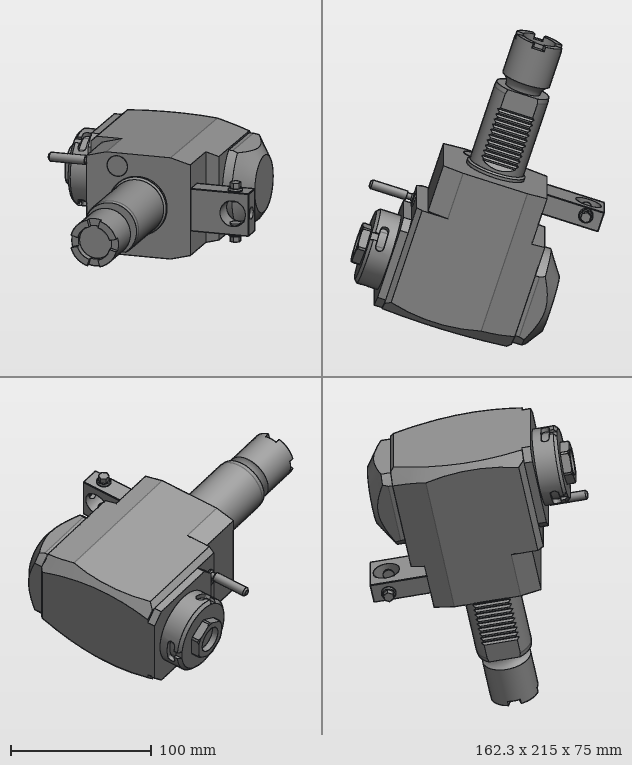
import cadquery as cq
import math


BODY_HALF_HEIGHT = 37.5
BODY_BACK_Y = 114.0
SHOULDER_Y = 35.0
FRONT_HALF_WIDTH = 38.75
REAR_LEFT_X = -47.2
REAR_RIGHT_X = 48.5
REAR_CHAMFER = 4.0
SLOPE_START_X = 24.0
SLOPE = math.tan(math.radians(15))
TURN_X = -9.6
TURN_Y = -20.0
TURN_TOP_RADIUS = 130.0
TURN_CONE_HEIGHT = 24.0
REAR_CORNER_CHAMFER = 2.8

FRONT_RECESS_X = -15.9
FRONT_RECESS_Z = 27.7
FRONT_RECESS_RADIUS = 7.6
FRONT_RECESS_DEPTH = 0.3

SPINDLE_Y = 80.0
FLANGE_LEFT_X = -53.2
FLANGE_FRONT_Y = 46.5
FLANGE_HALF_HEIGHT = 33.5
FLANGE_CHAMFER = 8.0
NUT_LEFT_X = -70.8
NUT_RADIUS = 27.6
NUT_CHAMFER = 2.3
SLOT_FLOOR_RADIUS = 24.3
SLOT_X = -62.5
SLOT_WIDTH = 6.0
SLOT_HALF_ANGLE = 13.3
SLOT_ANGLES = (0, 120, 240)
ENTRY_WIDTH = 5.6
ENTRY_FLOOR_RADIUS = 25.2
HEX_LEFT_X = -77.0
HEX_ACROSS_FLATS = 27.0
HEX_CORNER_RADIUS = 15.1
HEX_EDGE_CHAMFER = 0.8
SPINDLE_BORE_RADIUS = 9.4
SPINDLE_BORE_DEPTH = 4.8

CAP_RADIUS = 37.5
CAP_CONE_X = 55.6
CAP_RIGHT_X = 67.3
CAP_END_RADIUS = 20.8
CAP_BACK_Y = 109.8
CAP_HALF_HEIGHT = 29.6
CAP_SLOPE_X = 51.7

COOLANT_Y = 40.5
PIPE_Z = 17.5
PIPE_LEFT_X = -80.33
PIPE_RIGHT_X = -53.0
PIPE_RADIUS = 3.3
PIPE_CHAMFER = 1.3
PIPE_NECK_RADIUS = 2.2
PIPE_NECK_END_X = -49.5
PIPE_BASE_X = -48.4
SCREW_Z = 10.3
SCREW_RADIUS = 4.6
SCREW_HEIGHT = 1.0
SCREW_SOCKET_RADIUS = 1.7

COLLAR_RADIUS = 21.5
COLLAR_LENGTH = 2.2
COLLAR_SLOPE_END = 3.5
SHANK_RADIUS = 20.0
SHANK_END = 63.0
SHANK_TAPER_START = 59.7
SHANK_END_RADIUS = 19.5
NECK_RADIUS = 12.8
COUPLING_START = 70.6
COUPLING_RADIUS = 17.5
COUPLING_END = 101.0
COUPLING_BORE_RADIUS = 12.4
COUPLING_BORE_DEPTH = 6.0
DRIVE_SLOT_DEPTH = 3.5
DRIVE_SLOT_HALF_ANGLE = 15.5
DRIVE_SLOT_COUNT = 4

RACK_FLAT_Z = -16.0
RACK_RAMP_START = 5.6
RACK_RAMP_END = 8.7
TOOTH_DEPTH = 1.4
TOOTH_PITCH = 4.0
TOOTH_FIRST = 11.2
TOOTH_COUNT = 10

BAR_RIGHT_X = 82.0
BAR_FRONT_Y = 1.2
BAR_BACK_Y = 16.0
BAR_HALF_HEIGHT = 15.8
BAR_CHAMFER = 0.5
BAR_BORE_X = 70.1
BAR_BORE_RADIUS = 9.5
BAR_END_HOLE_RADIUS = 4.4
CLAMP_Y = 7.3
CLAMP_RADIUS = 4.0
CLAMP_INNER_Z = 8.2
CLAMP_COLLAR_RADIUS = 5.2
CLAMP_COLLAR_TOP_RADIUS = 4.5
CLAMP_COLLAR_RIM = 0.7
CLAMP_COLLAR_HEIGHT = 1.9
CLAMP_HEX_ACROSS_FLATS = 6.7
CLAMP_HEAD_Z = 21.8

OVERLAP = 1.0
FULL_TURN = 360


def box(x0, x1, y0, y1, z0, z1):
    """Axis-parallel block between two opposite corners."""
    return cq.Workplane("XY").box(x1 - x0, y1 - y0, z1 - z0, centered=False).translate((x0, y0, z0))


def cylinder_x(x0, x1, y, z, radius):
    return cq.Workplane("YZ", origin=(x0, y, z)).circle(radius).extrude(x1 - x0)


def prism_y(points, y0, y1):
    """Outline of (x, z) points extruded from y0 to y1."""
    return cq.Workplane("XZ", origin=(0, y0, 0)).polyline(points).close().extrude(y0 - y1)


def turned_x(points, y, z):
    """Outline of (x, radius) points turned about an X-parallel axis."""
    return cq.Workplane("XY", origin=(0, y, z)).polyline(points).close().revolve(FULL_TURN, (0, 0), (1, 0))


def hexagon_prism(plane, origin, across_flats, height):
    """Hexagonal prism with two opposite corners along the plane's vertical axis."""
    corner_diameter = across_flats / math.cos(math.pi / 6)
    return (
        cq.Workplane(plane, origin=origin)
        .transformed(rotate=(0, 0, 90))
        .polygon(6, corner_diameter)
        .extrude(height)
    )


def mirrored_outline(upper):
    """Close an upper (x, z) outline with its mirror image below Z = 0."""
    return upper + [(x, -z) for x, z in reversed(upper)]


def sloped_height(x):
    """Height of the sloped housing top at a distance x from the shank axis."""
    return BODY_HALF_HEIGHT - (x - SLOPE_START_X) * SLOPE


def make_housing():
    front_edge = sloped_height(FRONT_HALF_WIDTH)
    front_outline = mirrored_outline([
        (-FRONT_HALF_WIDTH, front_edge),
        (-SLOPE_START_X, BODY_HALF_HEIGHT),
        (SLOPE_START_X, BODY_HALF_HEIGHT),
        (FRONT_HALF_WIDTH, front_edge),
    ])
    rear_outline = mirrored_outline([
        (REAR_LEFT_X, BODY_HALF_HEIGHT - REAR_CHAMFER),
        (REAR_LEFT_X + REAR_CHAMFER, BODY_HALF_HEIGHT),
        (SLOPE_START_X, BODY_HALF_HEIGHT),
        (REAR_RIGHT_X, sloped_height(REAR_RIGHT_X)),
    ])
    flange = box(FLANGE_LEFT_X, REAR_LEFT_X + OVERLAP, FLANGE_FRONT_Y, BODY_BACK_Y,
                 -FLANGE_HALF_HEIGHT, FLANGE_HALF_HEIGHT)
    flange = flange.edges("|X").chamfer(FLANGE_CHAMFER)
    front = prism_y(front_outline, 0, SHOULDER_Y + OVERLAP)
    rear = prism_y(rear_outline, SHOULDER_Y, BODY_BACK_Y)
    rear = rear.edges("|Z and >X and >Y").chamfer(REAR_CORNER_CHAMFER)
    return front.union(rear.intersect(make_turned_envelope())).union(flange)


def make_turned_envelope():
    """Disc with 45 degree conical edges that rounds off the rear of the housing."""
    return (
        cq.Workplane("XY", origin=(TURN_X, TURN_Y, -BODY_HALF_HEIGHT))
        .circle(TURN_TOP_RADIUS + TURN_CONE_HEIGHT)
        .extrude(2 * BODY_HALF_HEIGHT)
        .edges()
        .chamfer(TURN_CONE_HEIGHT)
    )


def make_front_recess():
    return (
        cq.Workplane("XZ", origin=(FRONT_RECESS_X, 0, FRONT_RECESS_Z))
        .circle(FRONT_RECESS_RADIUS)
        .extrude(-FRONT_RECESS_DEPTH)
    )


def make_bayonet_slot(angle):
    """Round-ended slot around the nut with an entry notch from its outer face."""
    outer = NUT_RADIUS + OVERLAP
    half = SLOT_WIDTH / 2
    ring = cylinder_x(SLOT_X - half, SLOT_X + half, 0, 0, outer)
    ring = ring.cut(cylinder_x(SLOT_X - half, SLOT_X + half, 0, 0, SLOT_FLOOR_RADIUS))
    wedge_length = 2 * NUT_RADIUS
    wedge_half_width = wedge_length * math.tan(math.radians(SLOT_HALF_ANGLE))
    wedge = (
        cq.Workplane("YZ", origin=(SLOT_X - half, 0, 0))
        .polyline([(0, 0), (wedge_length, -wedge_half_width), (wedge_length, wedge_half_width)])
        .close()
        .extrude(SLOT_WIDTH)
    )
    slot = ring.intersect(wedge)
    for side in (-1, 1):
        end = (
            cq.Workplane("XZ", origin=(SLOT_X, SLOT_FLOOR_RADIUS, 0))
            .circle(half)
            .extrude(SLOT_FLOOR_RADIUS - outer)
            .rotate((0, 0, 0), (1, 0, 0), side * SLOT_HALF_ANGLE)
        )
        slot = slot.union(end)
    entry = box(NUT_LEFT_X - OVERLAP, SLOT_X, ENTRY_FLOOR_RADIUS, outer, -ENTRY_WIDTH / 2, ENTRY_WIDTH / 2)
    slot = slot.union(entry)
    return slot.rotate((0, 0, 0), (1, 0, 0), angle).translate((0, SPINDLE_Y, 0))


def make_nut():
    nut = turned_x([
        (FLANGE_LEFT_X + OVERLAP, 0),
        (FLANGE_LEFT_X + OVERLAP, NUT_RADIUS),
        (NUT_LEFT_X + NUT_CHAMFER, NUT_RADIUS),
        (NUT_LEFT_X, NUT_RADIUS - NUT_CHAMFER),
        (NUT_LEFT_X, 0),
    ], SPINDLE_Y, 0)
    for angle in SLOT_ANGLES:
        nut = nut.cut(make_bayonet_slot(angle))
    hexagon_length = NUT_LEFT_X - HEX_LEFT_X + OVERLAP
    hexagon = hexagon_prism("YZ", (HEX_LEFT_X, SPINDLE_Y, 0), HEX_ACROSS_FLATS, hexagon_length)
    corner_limit = turned_x([
        (NUT_LEFT_X + OVERLAP, 0),
        (NUT_LEFT_X + OVERLAP, HEX_CORNER_RADIUS),
        (HEX_LEFT_X + HEX_EDGE_CHAMFER, HEX_CORNER_RADIUS),
        (HEX_LEFT_X, HEX_CORNER_RADIUS - HEX_EDGE_CHAMFER),
        (HEX_LEFT_X, 0),
    ], SPINDLE_Y, 0)
    bore = cylinder_x(HEX_LEFT_X, HEX_LEFT_X + SPINDLE_BORE_DEPTH, SPINDLE_Y, 0, SPINDLE_BORE_RADIUS)
    return nut.union(hexagon.intersect(corner_limit)).cut(bore)


def make_cap():
    cap = turned_x([
        (REAR_RIGHT_X - OVERLAP, 0),
        (REAR_RIGHT_X - OVERLAP, CAP_RADIUS),
        (CAP_CONE_X, CAP_RADIUS),
        (CAP_RIGHT_X, CAP_END_RADIUS),
        (CAP_RIGHT_X, 0),
    ], SPINDLE_Y, 0)
    outline = mirrored_outline([
        (REAR_RIGHT_X - OVERLAP, CAP_HALF_HEIGHT),
        (CAP_SLOPE_X, CAP_HALF_HEIGHT),
        (CAP_RIGHT_X, CAP_HALF_HEIGHT - (CAP_RIGHT_X - CAP_SLOPE_X) * SLOPE),
    ])
    return cap.intersect(prism_y(outline, SPINDLE_Y - CAP_RADIUS, CAP_BACK_Y))


def make_coolant_pipe():
    return turned_x([
        (REAR_LEFT_X + OVERLAP, 0),
        (REAR_LEFT_X + OVERLAP, PIPE_RADIUS),
        (PIPE_BASE_X, PIPE_RADIUS),
        (PIPE_NECK_END_X, PIPE_NECK_RADIUS),
        (PIPE_RIGHT_X, PIPE_NECK_RADIUS),
        (PIPE_RIGHT_X, PIPE_RADIUS),
        (PIPE_LEFT_X + PIPE_CHAMFER, PIPE_RADIUS),
        (PIPE_LEFT_X, PIPE_RADIUS - PIPE_CHAMFER),
        (PIPE_LEFT_X, 0),
    ], COOLANT_Y, PIPE_Z)


def make_coolant_screw():
    face_x = REAR_LEFT_X - SCREW_HEIGHT
    screw = cylinder_x(face_x, REAR_LEFT_X + OVERLAP, COOLANT_Y, SCREW_Z, SCREW_RADIUS)
    return screw.cut(cylinder_x(face_x, REAR_LEFT_X, COOLANT_Y, SCREW_Z, SCREW_SOCKET_RADIUS))


def make_shank():
    """Collar, shank, flared neck and coupling as one turned body."""
    flare_width = COUPLING_RADIUS - NECK_RADIUS
    flare_length = COUPLING_START - SHANK_END
    flare_radius = (flare_width**2 + flare_length**2) / (2 * flare_width)
    half_turn = math.asin(flare_length / flare_radius) / 2
    flare_middle = (
        NECK_RADIUS + flare_radius * (1 - math.cos(half_turn)),
        -SHANK_END - flare_radius * math.sin(half_turn),
    )
    shank = (
        cq.Workplane("XY")
        .moveTo(0, OVERLAP)
        .lineTo(COLLAR_RADIUS, OVERLAP)
        .lineTo(COLLAR_RADIUS, -COLLAR_LENGTH)
        .lineTo(SHANK_RADIUS, -COLLAR_SLOPE_END)
        .lineTo(SHANK_RADIUS, -SHANK_TAPER_START)
        .lineTo(SHANK_END_RADIUS, -SHANK_END)
        .lineTo(NECK_RADIUS, -SHANK_END)
        .threePointArc(flare_middle, (COUPLING_RADIUS, -COUPLING_START))
        .lineTo(COUPLING_RADIUS, -COUPLING_END)
        .lineTo(0, -COUPLING_END)
        .close()
        .revolve(FULL_TURN, (0, 0), (0, 1))
    )
    return shank.cut(make_rack()).cut(make_coupling_recess())


def make_rack():
    """Cutter for the flat under the shank and the tooth gaps in it."""
    ramp_bottom = -SHANK_RADIUS
    below = -SHANK_RADIUS - OVERLAP
    outline = [
        (-RACK_RAMP_START, below),
        (-RACK_RAMP_START, ramp_bottom),
        (-RACK_RAMP_END, RACK_FLAT_Z),
    ]
    for i in range(TOOTH_COUNT):
        y = -TOOTH_FIRST - i * TOOTH_PITCH
        outline.append((y + TOOTH_DEPTH, RACK_FLAT_Z))
        outline.append((y, RACK_FLAT_Z + TOOTH_DEPTH))
        outline.append((y - TOOTH_DEPTH, RACK_FLAT_Z))
    outline.append((-SHANK_END, RACK_FLAT_Z))
    outline.append((-SHANK_END, below))
    return cq.Workplane("YZ").polyline(outline).close().extrude(SHANK_RADIUS, both=True)


def make_coupling_recess():
    """Cutter for the coupling bore and the drive slots, whose sides are radial."""
    floor = cq.Workplane("XZ", origin=(0, DRIVE_SLOT_DEPTH - COUPLING_END, 0))
    recess = (
        cq.Workplane("XZ", origin=(0, COUPLING_BORE_DEPTH - COUPLING_END, 0))
        .circle(COUPLING_BORE_RADIUS)
        .extrude(COUPLING_BORE_DEPTH)
    )
    length = COUPLING_RADIUS + OVERLAP
    half_width = length * math.tan(math.radians(DRIVE_SLOT_HALF_ANGLE))
    for i in range(DRIVE_SLOT_COUNT):
        sector = (
            floor.polyline([(0, 0), (length, -half_width), (length, half_width)])
            .close()
            .extrude(DRIVE_SLOT_DEPTH)
            .rotate((0, 0, 0), (0, 1, 0), i * FULL_TURN / DRIVE_SLOT_COUNT)
        )
        recess = recess.union(sector)
    return recess


def make_clamp_screw():
    """Screw on the upper side of the bar, reaching into its bore."""
    stem = (
        cq.Workplane("XY", origin=(BAR_BORE_X, CLAMP_Y, CLAMP_INNER_Z))
        .circle(CLAMP_RADIUS)
        .extrude(BAR_HALF_HEIGHT - CLAMP_INNER_Z)
    )
    collar = (
        cq.Workplane("XY", origin=(BAR_BORE_X, CLAMP_Y, BAR_HALF_HEIGHT))
        .circle(CLAMP_COLLAR_RADIUS)
        .extrude(CLAMP_COLLAR_RIM)
        .faces(">Z")
        .workplane()
        .circle(CLAMP_COLLAR_RADIUS)
        .workplane(offset=CLAMP_COLLAR_HEIGHT - CLAMP_COLLAR_RIM)
        .circle(CLAMP_COLLAR_TOP_RADIUS)
        .loft()
    )
    head_origin = (BAR_BORE_X, CLAMP_Y, BAR_HALF_HEIGHT)
    head_height = CLAMP_HEAD_Z - BAR_HALF_HEIGHT
    head = hexagon_prism("XY", head_origin, CLAMP_HEX_ACROSS_FLATS, head_height)
    return stem.union(collar).union(head)


def make_bar():
    bar = box(FRONT_HALF_WIDTH - OVERLAP, BAR_RIGHT_X, BAR_FRONT_Y, BAR_BACK_Y,
              -BAR_HALF_HEIGHT, BAR_HALF_HEIGHT)
    bar = bar.edges("|X or >X").chamfer(BAR_CHAMFER)
    bore = (
        cq.Workplane("XZ", origin=(BAR_BORE_X, BAR_FRONT_Y, 0))
        .circle(BAR_BORE_RADIUS)
        .extrude(BAR_FRONT_Y - BAR_BACK_Y)
    )
    end_hole = cylinder_x(BAR_BORE_X, BAR_RIGHT_X, CLAMP_Y, 0, BAR_END_HOLE_RADIUS)
    upper_screw = make_clamp_screw()
    return bar.cut(bore).cut(end_hole).union(upper_screw).union(upper_screw.mirror("XY"))


result = make_housing().cut(make_front_recess())
for component in (
    make_nut(),
    make_cap(),
    make_coolant_pipe(),
    make_coolant_screw(),
    make_shank(),
    make_bar(),
):
    result = result.union(component)